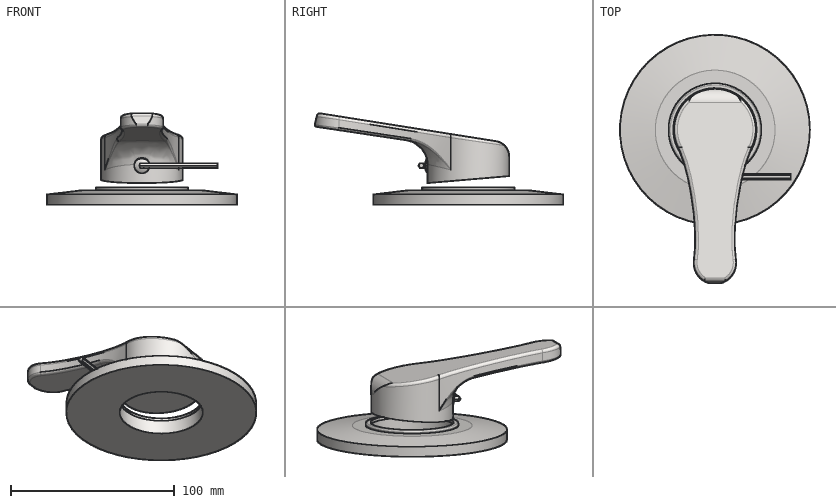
import cadquery as cq
import math

PLATE_RADIUS = 116.0 / 2
PLATE_RIM_HEIGHT = 6.4
PLATE_FLAT_RADIUS = 36.5
PLATE_HEIGHT = 9.0
OPENING_RADIUS = 25.3

RING_RADIUS = 28.4
RING_HEIGHT = 1.8
RING_EDGE_RADIUS = 0.9

HUB_RADIUS = 25.0
HUB_BASE_HEIGHT = 15.3
HUB_BASE_ANGLE = 4.9
HUB_BACK_RADIUS = 9.7

TOP_HEIGHT = 41.5
TOP_ANGLE = 9.0
UNDERSIDE_HEIGHT = 33.7
UNDERSIDE_ANGLE = 8.5
HANDLE_ROOT_Y = -10.6
JOINT_Y = HANDLE_ROOT_Y - 0.2
HANDLE_WAIST_Y = -63.7
HANDLE_WAIST_HALF_WIDTH = 12.1
HANDLE_MIDDLE_Y = -32.8
HANDLE_MIDDLE_HALF_WIDTH = 15.8
TIP_RADIUS = 13.0
TIP_CENTER_Y = -81.1
TIP_START_Y = -79.2
TIP_FACE_Y = -93.9
TIP_FACE_Z = 48.5
TIP_FACE_ANGLE = 14.0
NECK_RADIUS = 14.5
TOP_EDGE_RADIUS = 2.0
UNDER_EDGE_RADIUS = 1.5

PLUG_RADIUS = 4.7
PLUG_Z = 24.0
PLUG_RIM_Y = -25.0
PLUG_APEX_Y = -26.5
PLUG_DEPTH = 4.5
SOCKET_DEPTH = 3.8

KEY_ACROSS_FLATS = 3.0
KEY_ROD_Y = -28.7
KEY_END_X = 46.3

CUT_SIZE = 303.4
ANGLE_TOLERANCE = 0.001


def make_plate():
    profile = [
        (OPENING_RADIUS, 0),
        (PLATE_RADIUS, 0),
        (PLATE_RADIUS, PLATE_RIM_HEIGHT),
        (PLATE_FLAT_RADIUS, PLATE_HEIGHT),
        (OPENING_RADIUS, PLATE_HEIGHT),
    ]
    return cq.Workplane("XZ").polyline(profile).close().revolve(360, (0, 0), (0, 1))


def make_ring():
    ring = cq.Workplane("XY", origin=(0, 0, PLATE_HEIGHT)).circle(RING_RADIUS).extrude(RING_HEIGHT)
    ring = ring.faces(">Z").edges().fillet(RING_EDGE_RADIUS)
    return ring.faces(">Z").workplane().circle(OPENING_RADIUS).cutThruAll()


def lever_outline():
    """Plan shape of the lever: hub circle, waisted handle and round tip, as a tall prism."""
    root_x = math.sqrt(HUB_RADIUS**2 - HANDLE_ROOT_Y**2)
    tip_drop = TIP_START_Y - TIP_CENTER_Y
    tip_x = math.sqrt(TIP_RADIUS**2 - tip_drop**2)
    right_side = [
        (root_x, HANDLE_ROOT_Y),
        (HANDLE_MIDDLE_HALF_WIDTH, HANDLE_MIDDLE_Y),
        (HANDLE_WAIST_HALF_WIDTH, HANDLE_WAIST_Y),
        (tip_x, TIP_START_Y),
    ]
    left_side = [(-x, y) for x, y in reversed(right_side)]
    return (
        cq.Workplane("XY")
        .moveTo(*right_side[0])
        .spline(right_side[1:], tangents=[(HANDLE_ROOT_Y, -root_x), (tip_drop, -tip_x)], includeCurrent=True)
        .threePointArc((0, TIP_CENTER_Y - TIP_RADIUS), left_side[0])
        .spline(left_side[1:], tangents=[(tip_drop, tip_x), (HANDLE_ROOT_Y, root_x)], includeCurrent=True)
        .threePointArc((0, HUB_RADIUS), right_side[0])
        .close()
        .extrude(CUT_SIZE)
    )


def space_above(height, angle):
    """Block above a plane that tilts about the X direction and meets the Z axis at the height."""
    block = cq.Workplane("XY").box(2 * CUT_SIZE, 2 * CUT_SIZE, CUT_SIZE, centered=(True, True, False))
    return block.rotate((0, 0, 0), (1, 0, 0), angle).translate((0, 0, height))


def space_ahead(y):
    """Block on the -Y side of an upright plane."""
    block = cq.Workplane("XY").box(2 * CUT_SIZE, CUT_SIZE, 2 * CUT_SIZE)
    return block.translate((0, y - CUT_SIZE / 2, 0))


def round_hub():
    """Full hub cylinder between its sloping base and the sloping top face."""
    hub = cq.Workplane("XY").circle(HUB_RADIUS).extrude(CUT_SIZE)
    hub = hub.cut(space_above(TOP_HEIGHT, -TOP_ANGLE))
    return hub.intersect(space_above(HUB_BASE_HEIGHT, HUB_BASE_ANGLE))


def hub_with_slab():
    """Hub joined to a wide sloping slab by a rounded neck, before the sides are trimmed."""
    slab = space_ahead(HANDLE_ROOT_Y).intersect(space_above(UNDERSIDE_HEIGHT, -UNDERSIDE_ANGLE))
    slab = slab.cut(space_above(TOP_HEIGHT, -TOP_ANGLE))
    neck_middle_z = UNDERSIDE_HEIGHT + HUB_RADIUS * math.tan(math.radians(UNDERSIDE_ANGLE))
    body = round_hub().union(slab)
    neck_edge = body.edges(cq.selectors.NearestToPointSelector((0, -HUB_RADIUS, neck_middle_z)))
    return neck_edge.fillet(NECK_RADIUS)


def space_past_tip():
    """Space beyond the leaning tip face."""
    space = space_ahead(0).rotate((0, 0, 0), (1, 0, 0), -TIP_FACE_ANGLE)
    return space.translate((0, TIP_FACE_Y, TIP_FACE_Z))


def back_rounding():
    """Material outside the rounding between the top face and the back of the hub."""
    slope = math.tan(math.radians(TOP_ANGLE))
    corner_z = TOP_HEIGHT - HUB_RADIUS * slope
    reach = HUB_BACK_RADIUS * math.tan(math.radians(90 - TOP_ANGLE) / 2)
    along_y = reach * math.cos(math.radians(TOP_ANGLE))
    along_z = reach * math.sin(math.radians(TOP_ANGLE))
    return (
        cq.Workplane("YZ", origin=(-CUT_SIZE / 2, 0, 0))
        .moveTo(HUB_RADIUS - along_y, corner_z + along_z)
        .radiusArc((HUB_RADIUS, corner_z - reach), HUB_BACK_RADIUS)
        .lineTo(CUT_SIZE / 2, corner_z - reach)
        .lineTo(CUT_SIZE / 2, CUT_SIZE)
        .lineTo(HUB_RADIUS - along_y, CUT_SIZE)
        .close()
        .extrude(CUT_SIZE)
    )


def flat_face(body, direction):
    """The flat face of the body that looks in the given direction."""
    planes = body.faces("%PLANE").vals()
    return body.newObject([face for face in planes if face.normalAt().getAngle(direction) < ANGLE_TOLERANCE])


def top_face(body):
    angle = math.radians(TOP_ANGLE)
    return flat_face(body, cq.Vector(0, math.sin(angle), math.cos(angle)))


def handle_underside(body):
    angle = math.radians(UNDERSIDE_ANGLE)
    return flat_face(body, cq.Vector(0, -math.sin(angle), -math.cos(angle)))


def hub_part():
    """Hub behind the joint, with a rounded top edge and back."""
    hub = round_hub().cut(space_ahead(JOINT_Y))
    hub = top_face(hub).edges("%ELLIPSE").fillet(TOP_EDGE_RADIUS)
    return hub.cut(back_rounding())


def handle_part():
    """Handle, neck and front of the hub, with rounded edges above and below."""
    handle = hub_with_slab().intersect(space_ahead(JOINT_Y)).intersect(lever_outline())
    handle = handle.cut(space_past_tip())
    neck_end_y = -HUB_RADIUS - NECK_RADIUS
    under_edges = handle_underside(handle).edges().filter(lambda edge: edge.Center().y < neck_end_y)
    handle = under_edges.fillet(UNDER_EDGE_RADIUS)
    top_edges = top_face(handle).edges().filter(lambda edge: edge.Center().y < neck_end_y)
    return top_edges.fillet(TOP_EDGE_RADIUS)


def make_lever():
    lever = hub_part().union(handle_part())
    return lever.cut(make_plug_blank())


def make_plug_blank():
    """Plug without its socket: a short cylinder with a domed outer end."""
    return (
        cq.Workplane("XY")
        .moveTo(0, -PLUG_APEX_Y)
        .lineTo(0, -PLUG_RIM_Y - PLUG_DEPTH)
        .lineTo(PLUG_RADIUS, -PLUG_RIM_Y - PLUG_DEPTH)
        .lineTo(PLUG_RADIUS, -PLUG_RIM_Y)
        .threePointArc(dome_point(), (0, -PLUG_APEX_Y))
        .close()
        .revolve(360, (0, 0), (0, 1))
        .rotate((0, 0, 0), (0, 0, 1), 180)
        .translate((0, 0, PLUG_Z))
    )


def dome_point():
    """A point halfway along the dome from rim to apex, as radius and distance from the Z axis."""
    rise = PLUG_RIM_Y - PLUG_APEX_Y
    sphere_radius = (PLUG_RADIUS**2 + rise**2) / (2 * rise)
    half_angle = math.asin(PLUG_RADIUS / sphere_radius) / 2
    distance = -PLUG_APEX_Y - sphere_radius * (1 - math.cos(half_angle))
    return sphere_radius * math.sin(half_angle), distance


def make_key():
    """L-shaped hexagonal key with a mitred corner, from the socket out along +X."""
    across_corners = KEY_ACROSS_FLATS / math.cos(math.radians(30))
    rod_plane = cq.Plane(origin=(KEY_END_X, KEY_ROD_Y, PLUG_Z), xDir=(0, 1, 0), normal=(-1, 0, 0))
    path = (
        cq.Workplane("XY", origin=(0, 0, PLUG_Z))
        .moveTo(KEY_END_X, KEY_ROD_Y)
        .lineTo(0, KEY_ROD_Y)
        .lineTo(0, PLUG_APEX_Y + SOCKET_DEPTH)
    )
    return cq.Workplane(rod_plane).polygon(6, across_corners).sweep(path, transition="right")


plate = make_plate()
ring = make_ring()
lever = make_lever()
key = make_key()
plug = make_plug_blank().cut(key)

result = cq.Compound.makeCompound([plate.val(), ring.val(), lever.val(), plug.val(), key.val()])